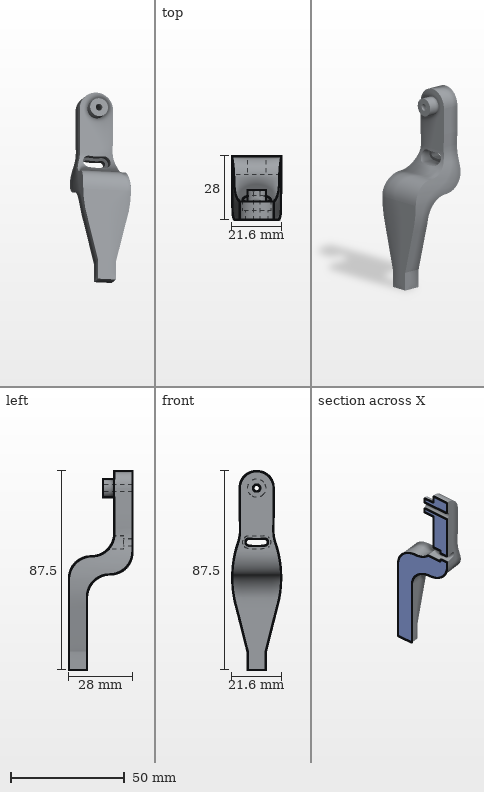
import cadquery as cq
import math


total_height = 87.5
total_depth = 28.0
plate_thickness = 8.05
bend_radius = (total_depth - plate_thickness) / 2
bend_middle_z = 42.0

head_radius = 7.5
pivot_z = total_height - head_radius
neck_top_z = 68.2
neck_bottom_z = 62.2
neck_half_width = 7.35
bulge_top_z = 55.8
bulge_middle_z = 40.6
bulge_radius = 47.25
bulge_half_width = 21.6 / 2
bulge_bottom_z = 27.1
foot_height = 8.1
foot_half_width = 4.0

boss_radius = 4.0
boss_length = 5.0
bore_radius = 1.5

slot_path_radius = 24.0
slot_half_width = 1.5
slot_end_x = 3.4
recess_half_width = 2.8
recess_floor_y = plate_thickness / 2

front = cq.Workplane("XZ")


def bulge_x(z):
    """Half width of the rounded bulge at height z."""
    return bulge_half_width - bulge_radius + math.sqrt(bulge_radius**2 - (z - bulge_middle_z) ** 2)


def cranked_plate():
    """S-bent plate of constant depth, wide enough to be trimmed by the outline."""
    bend_y = bend_radius
    back_bend_z = bend_middle_z + plate_thickness
    back_bend_y = plate_thickness + bend_radius
    inner_y = total_depth - plate_thickness
    arc_side = bend_radius * math.sqrt(0.5)
    arc_rest = bend_radius - arc_side
    profile = (
        cq.Workplane("YZ")
        .moveTo(0, total_height)
        .lineTo(0, bend_middle_z + bend_radius)
        .threePointArc((arc_rest, bend_middle_z + arc_rest), (bend_y, bend_middle_z))
        .threePointArc(
            (bend_y + arc_side, bend_middle_z - arc_rest), (inner_y, bend_middle_z - bend_radius)
        )
        .lineTo(inner_y, 0)
        .lineTo(total_depth, 0)
        .lineTo(total_depth, back_bend_z - bend_radius)
        .threePointArc((total_depth - arc_rest, back_bend_z - arc_rest), (back_bend_y, back_bend_z))
        .threePointArc(
            (plate_thickness + arc_rest, back_bend_z + arc_rest),
            (plate_thickness, back_bend_z + bend_radius),
        )
        .lineTo(plate_thickness, total_height)
        .close()
    )
    return profile.extrude(2 * bulge_half_width, both=True)


def outline():
    """Symmetric outline with a round head, waist, bulge and narrow foot."""
    bulge_top_x = bulge_x(bulge_top_z)
    bulge_bottom_x = bulge_x(bulge_bottom_z)
    half = (
        front.moveTo(0, 0)
        .lineTo(foot_half_width, 0)
        .lineTo(foot_half_width, foot_height)
        .lineTo(bulge_bottom_x, bulge_bottom_z)
        .threePointArc((bulge_half_width, bulge_middle_z), (bulge_top_x, bulge_top_z))
        .tangentArcPoint((neck_half_width, neck_bottom_z), relative=False)
        .lineTo(head_radius, neck_top_z)
        .lineTo(head_radius, pivot_z)
        .radiusArc((0, total_height), -head_radius)
        .close()
        .extrude(-total_depth)
    )
    return half.union(half.mirror("YZ"))


def curved_slot(half_width, start_y, end_y):
    """Round-ended slot along an arc about the pivot, cut from start_y to end_y."""
    half_angle = math.asin(slot_end_x / slot_path_radius)

    def point(radius, angle):
        return (radius * math.sin(angle), pivot_z - radius * math.cos(angle))

    outer = slot_path_radius + half_width
    inner = slot_path_radius - half_width
    cap_angle = half_angle + half_width / slot_path_radius
    return (
        front.workplane(offset=-start_y)
        .moveTo(*point(outer, -half_angle))
        .threePointArc(point(outer, 0), point(outer, half_angle))
        .threePointArc(point(slot_path_radius, cap_angle), point(inner, half_angle))
        .threePointArc(point(inner, 0), point(inner, -half_angle))
        .threePointArc(point(slot_path_radius, -cap_angle), point(outer, -half_angle))
        .close()
        .extrude(start_y - end_y)
    )


def pivot_cylinder(radius, start_y, end_y):
    """Cylinder along Y about the pivot."""
    return front.workplane(offset=-start_y).center(0, pivot_z).circle(radius).extrude(start_y - end_y)


boss_end_y = plate_thickness + boss_length

result = (
    cranked_plate()
    .intersect(outline())
    .union(pivot_cylinder(boss_radius, plate_thickness, boss_end_y))
    .cut(pivot_cylinder(bore_radius, 0, boss_end_y))
    .cut(curved_slot(slot_half_width, 0, total_depth))
    .cut(curved_slot(recess_half_width, recess_floor_y, total_depth))
)